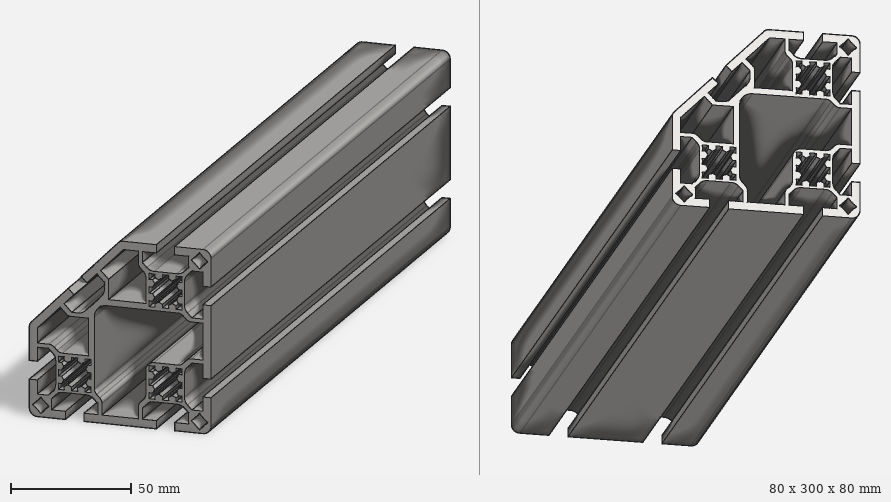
import cadquery as cq
import math

length = 300.0
side = 80.0
half_side = side / 2
corner_radius = 3.5
flat_blend_radius = 3.0

wall = 3.5
slot_opening = 8.0
slot_half_width = 10.2
slot_floor_half_width = 7.0
slot_depth = 11.7
slot_floor_fillet = 4.5
slot_offset = side / 4
slot_bevel = slot_half_width - slot_floor_half_width
slot_shoulder_depth = slot_depth - slot_bevel

web = 1.8
sloped_web = 2.5
core_half_width = 8.7
rib = 2.7
chamber_fillet = 5.5
core_fillet = 3.5
bend_fillet = 3.3

channel_half_width = 7.2
tooth_offset = 3.0
tooth_tip = 4.8
tooth_shoulder = 5.7
tooth_half_width = 1.65

corner_hole_reach = 3.5
corner_hole_waist = 2.5
corner_hole_inset = 5.0

slot_web = slot_offset - slot_half_width - web
inner_face = half_side - wall
core_face = slot_offset - core_half_width
web_shoulder = half_side - slot_shoulder_depth - (sloped_web * math.sqrt(2) - web)
core_slope = web_shoulder - (core_face - slot_web)


def prism(points):
    """Extrude a closed X-Z outline along the full length, centred on Y."""
    return cq.Workplane("XZ").polyline(points).close().extrude(length / 2, both=True)


def mirrored(points):
    """Reflect X-Z points across the profile's diagonal of symmetry."""
    return [(-z, -x) for x, z in points]


def turned(body, angle):
    """Rotate a body about the Y axis; positive angles carry +Z towards +X."""
    return body.rotate((0, 0, 0), (0, 1, 0), angle)


def round_edge(body, x, z, radius):
    """Fillet the lengthwise edge nearest to an X-Z point."""
    nearest = cq.selectors.NearestToPointSelector((x, 0, z))
    return body.edges("|Y").edges(nearest).fillet(radius)


def outer_block():
    """Square bar with three rounded corners and a blended 45-degree flat at the fourth."""
    block = prism([
        (-half_side, -half_side),
        (half_side, -half_side),
        (half_side, half_side),
        (0, half_side),
        (-half_side, 0),
    ])
    for x, z in [(-half_side, -half_side), (half_side, -half_side), (half_side, half_side)]:
        block = round_edge(block, x, z, corner_radius)
    for x, z in [(0, half_side), (-half_side, 0)]:
        block = round_edge(block, x, z, flat_blend_radius)
    return block


def slot(face_x, face_z, angle):
    """T-slot opening at a point on an outer face; at angle 0 it opens towards +Z."""
    half_opening = slot_opening / 2
    right_half = [
        (half_opening, wall),
        (half_opening, -wall),
        (slot_half_width, -wall),
        (slot_half_width, -slot_shoulder_depth),
        (slot_floor_half_width, -slot_depth),
    ]
    left_half = [(-x, z) for x, z in reversed(right_half)]
    cavity = prism(right_half + left_half)
    for x in (-slot_floor_half_width, slot_floor_half_width):
        cavity = round_edge(cavity, x, -slot_depth, slot_floor_fillet)
    return turned(cavity, angle).translate((face_x, 0, face_z))


def screw_channel(center_x, center_z):
    """Square channel with two pointed inward teeth on each wall."""
    width = 2 * channel_half_width
    channel = cq.Workplane("XY").box(width, length, width)
    for angle in (0, 90, 180, 270):
        for offset in (-tooth_offset, tooth_offset):
            tooth = prism([
                (offset - tooth_half_width, channel_half_width),
                (offset - tooth_half_width, tooth_shoulder),
                (offset, tooth_tip),
                (offset + tooth_half_width, tooth_shoulder),
                (offset + tooth_half_width, channel_half_width),
            ])
            channel = channel.cut(turned(tooth, angle))
    return channel.translate((center_x, 0, center_z))


def corner_hole(sign_x, sign_z):
    """Four-pointed channel with bowed sides, in the corner with these signs of X and Z."""
    center = half_side - corner_hole_inset
    reach = corner_hole_reach
    waist = corner_hole_waist / math.sqrt(2)
    outline = cq.Workplane("XZ").moveTo(reach, 0)
    outline = outline.threePointArc((waist, waist), (0, reach))
    outline = outline.threePointArc((-waist, waist), (-reach, 0))
    outline = outline.threePointArc((-waist, -waist), (0, -reach))
    outline = outline.threePointArc((waist, -waist), (reach, 0))
    hole = outline.close().extrude(length / 2, both=True)
    return hole.translate((sign_x * center, 0, sign_z * center))


def central_chamber():
    """L-shaped hollow through the middle, narrowing where it meets two outer walls."""
    lower_arm = [
        (-core_face, -core_slope),
        (-slot_web, -web_shoulder),
        (-slot_web, -inner_face),
        (slot_web, -inner_face),
        (slot_web, -web_shoulder),
        (core_face, -core_slope),
    ]
    right_arm = list(reversed(mirrored(lower_arm)))
    inner_corner = (core_face, -core_face)
    outer_corner = (-core_face, core_face)
    chamber = prism(lower_arm + [inner_corner] + right_arm + [outer_corner])
    chamber = round_edge(chamber, *outer_corner, chamber_fillet)
    chamber = round_edge(chamber, *inner_corner, core_fillet)
    bends = [(x, z) for x, z in lower_arm if z != -inner_face]
    for x, z in bends + mirrored(bends):
        chamber = round_edge(chamber, x, z, bend_fillet)
    return chamber


def side_chamber():
    """Hollow between the 45-degree flat and the upper screw channel."""
    root = math.sqrt(2)
    flat_level = half_side - wall * root
    web_level = (slot_half_width + sloped_web) * root
    bevel_x = ((slot_half_width + slot_shoulder_depth) * root - half_side) / 2
    upright_x = bevel_x + web
    floor = core_face + rib
    chamber = prism([
        (inner_face - flat_level, inner_face),
        (slot_web, inner_face),
        (slot_web, web_shoulder),
        (core_face, core_slope),
        (core_face, floor),
        (upright_x, floor),
        (upright_x, web_level - upright_x),
        ((web_level - flat_level) / 2, (web_level + flat_level) / 2),
    ])
    for x, z in [(slot_web, web_shoulder), (core_face, core_slope)]:
        chamber = round_edge(chamber, x, z, bend_fillet)
    return chamber


result = outer_block()

slots = [
    (slot_offset, half_side, 0),
    (half_side, slot_offset, 90),
    (half_side, -slot_offset, 90),
    (slot_offset, -half_side, 180),
    (-slot_offset, -half_side, 180),
    (-half_side, -slot_offset, 270),
    (-half_side / 2, half_side / 2, -45),
]
for face_x, face_z, angle in slots:
    result = result.cut(slot(face_x, face_z, angle))

for sign_x, sign_z in [(-1, -1), (1, -1), (1, 1)]:
    result = result.cut(screw_channel(sign_x * slot_offset, sign_z * slot_offset))
    result = result.cut(corner_hole(sign_x, sign_z))

result = result.cut(central_chamber())
result = result.cut(side_chamber())
result = result.cut(side_chamber().rotate((0, 0, 0), (1, 0, -1), 180))